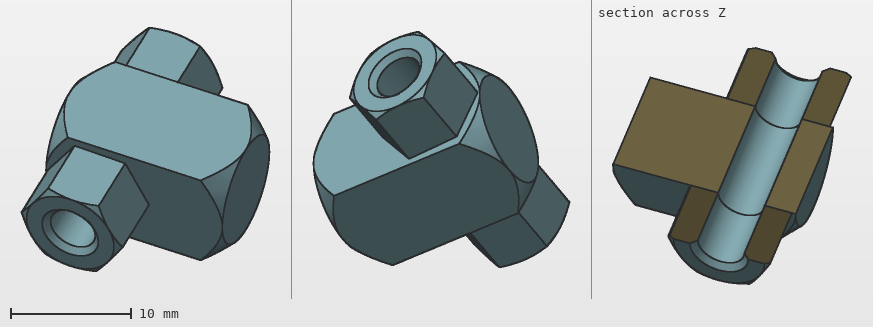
import cadquery as cq
import math

block_length = 16.0
block_side = 9.53
block_chamfer_angle = 45.0

overall_depth = 20.95
fitting_length = (overall_depth - block_side) / 2
hex_across_flats = 7.94
hex_chamfer_angle = 30.0
axis_x = (block_side - block_length) / 2

front_hex_tilt = 1.9
back_hex_tilt = 3.7

bore_diameter = 4.05
mouth_diameter = 5.1


def end_cone(face_radius, length, slope):
    """Cone frustum along +Z that shrinks to face_radius at its far end; slope is length per radius."""
    base_radius = face_radius + length / slope
    profile = [(0, 0), (base_radius, 0), (face_radius, length), (0, length)]
    return cq.Workplane("XZ").polyline(profile).close().revolve(360, (0, 0, 0), (0, 1, 0))


def make_block():
    """Square bar whose two ends are turned to a cone, leaving a round face tangent to the sides."""
    half_length = block_length / 2
    slope = math.tan(math.radians(block_chamfer_angle))
    half_envelope = end_cone(block_side / 2, half_length, slope)
    right_half = half_envelope.rotate((0, 0, 0), (0, 1, 0), 90)
    left_half = half_envelope.rotate((0, 0, 0), (0, 1, 0), -90)
    bar = cq.Workplane("XY").box(block_length, block_side, block_side)
    bore = (
        cq.Workplane("XZ")
        .center(axis_x, 0)
        .circle(bore_diameter / 2)
        .extrude(block_side / 2, both=True)
    )
    return bar.intersect(right_half.union(left_half)).cut(bore)


def make_fitting(direction, tilt):
    """Bored hexagon standing on a block face; direction is -1 for the front (-Y), 1 for the back."""
    across_corners = hex_across_flats / math.cos(math.pi / 6)
    slope = math.tan(math.radians(hex_chamfer_angle))
    mouth_depth = (mouth_diameter - bore_diameter) / 2
    hexagon = (
        cq.Workplane("XY")
        .polygon(6, across_corners)
        .extrude(fitting_length)
        .intersect(end_cone(hex_across_flats / 2, fitting_length, slope))
    )
    bored = (
        hexagon.faces(">Z")
        .workplane()
        .circle(bore_diameter / 2)
        .cutThruAll()
        .faces(">Z")
        .edges("%CIRCLE")
        .edges(cq.selectors.RadiusNthSelector(0))
        .chamfer(mouth_depth)
    )
    return (
        bored.rotate((0, 0, 0), (1, 0, 0), -90 * direction)
        .rotate((0, 0, 0), (0, 1, 0), tilt)
        .translate((axis_x, direction * block_side / 2, 0))
    )


block = make_block()
fittings = [make_fitting(-1, front_hex_tilt), make_fitting(1, back_hex_tilt)]

result = cq.Compound.makeCompound([block.val(), *[fitting.val() for fitting in fittings]])